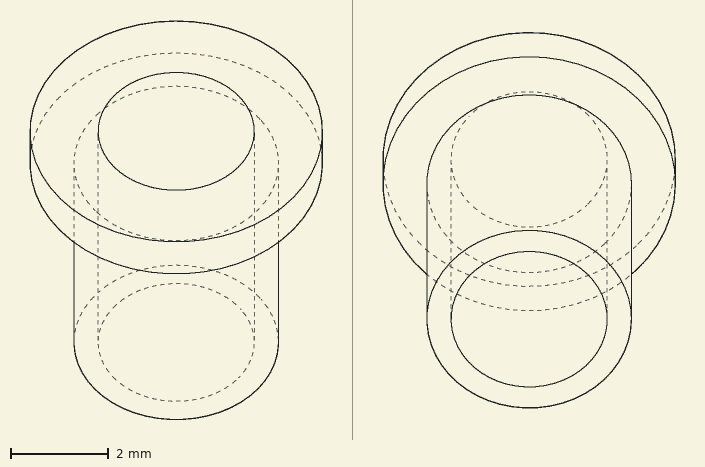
import cadquery as cq

total_height = 6.6
flange_diameter = 6.0
flange_thickness = 1.0
sleeve_diameter = 4.2
bore_diameter = 3.2

sleeve = cq.Workplane("XY").circle(sleeve_diameter / 2).extrude(total_height)

flange = (
    cq.Workplane("XY")
    .workplane(offset=total_height - flange_thickness)
    .circle(flange_diameter / 2)
    .extrude(flange_thickness)
)

bore = cq.Workplane("XY").circle(bore_diameter / 2).extrude(total_height)

result = sleeve.union(flange).cut(bore)